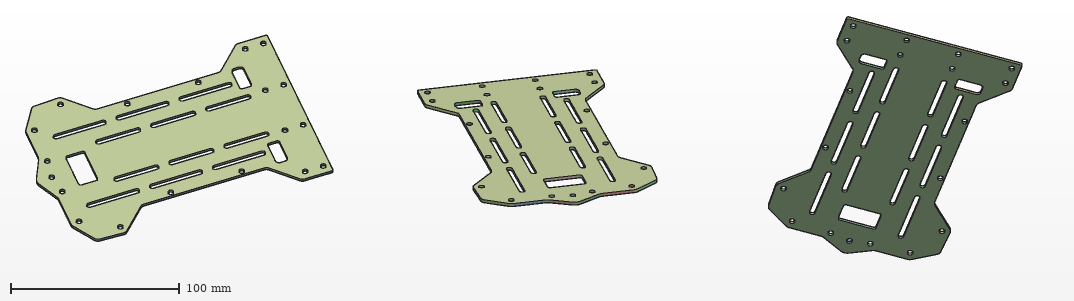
import cadquery as cq

length = 167.4
thickness = 2.0
front_edge = length / 2
nose_tip = -length / 2

front_half_width = 55.0
waist_half_width = 38.7
tail_half_width = 54.7
tail_end_half_width = 53.9
tail_edge_half_width = 38.3
nose_half_width = 16.2

front_shoulder = 64.0
tail_shoulder = -48.0
shoulder_run = front_half_width - waist_half_width
tail_shoulder_run = tail_half_width - waist_half_width
tail_side_end = -66.3
tail_edge = -76.3
nose_point_overrun = 0.7

front_corner_radius = 1.0
outline_radius = 3.3
nose_half_angle_tangent = nose_half_width / (tail_edge - nose_tip + nose_point_overrun)
nose_half_angle_secant = (1 + nose_half_angle_tangent**2) ** 0.5
nose_radius = nose_point_overrun / (nose_half_angle_secant / nose_half_angle_tangent - 1)

hole_diameter = 3.3
front_hole_xs = (16.2, 49.7)
front_hole_ys = (79.4, 67.8)
side_holes = [(36.0, 32.6), (36.0, -12.4), (49.7, -49.7), (37.0, -71.1), (12.4, -72.3)]
nose_hole_y = -74.3

slot_width = 3.3
slots_per_column = 3
inner_slot_x = 15
inner_slot_length = 28.5
inner_slot_pitch = 35.0
inner_slot_middle = 8.7
outer_slot_x = 27.8
outer_slot_length = 33.5
outer_slot_pitch = 40.0
outer_slot_middle = -5.9

front_window_x = 30.1
front_window_y = 58.0
front_window_width = 16.0
front_window_height = 7.5
front_window_outer_radius = 2.3
front_window_inner_radius = 1.3
tail_window_y = -55.2
tail_window_width = 23.6
tail_window_height = 12.0
tail_window_radius = 1.3


def make_plate():
    right_side = [
        (front_half_width, front_edge),
        (front_half_width, front_shoulder),
        (waist_half_width, front_shoulder - shoulder_run),
        (waist_half_width, tail_shoulder + tail_shoulder_run),
        (tail_half_width, tail_shoulder),
        (tail_end_half_width, tail_side_end),
        (tail_edge_half_width, tail_edge),
        (nose_half_width, tail_edge),
    ]
    nose_point = (0, nose_tip - nose_point_overrun)
    left_side = [(-x, y) for x, y in reversed(right_side)]
    plate = cq.Workplane("XY").polyline(right_side + [nose_point] + left_side).close().extrude(thickness)

    nose_edge = cq.selectors.NearestToPointSelector((0, nose_point[1], thickness / 2))
    plate = plate.edges("|Z").edges(nose_edge).fillet(nose_radius)
    plate = plate.edges("|Z and >Y").fillet(front_corner_radius)
    for x, y in right_side[1:]:
        for side in (1, -1):
            corner = cq.selectors.NearestToPointSelector((side * x, y, thickness / 2))
            plate = plate.edges("|Z").edges(corner).fillet(outline_radius)
    return plate


def make_holes():
    right_holes = [(x, y) for x in front_hole_xs for y in front_hole_ys] + side_holes
    left_holes = [(-x, y) for x, y in right_holes]
    points = right_holes + left_holes + [(0, nose_hole_y)]
    return cq.Workplane("XY").pushPoints(points).circle(hole_diameter / 2).extrude(thickness)


def make_slots(column_x, slot_length, pitch, middle):
    points = []
    for index in range(slots_per_column):
        y = middle + (index - (slots_per_column - 1) / 2) * pitch
        points += [(column_x, y), (-column_x, y)]
    return cq.Workplane("XY").pushPoints(points).slot2D(slot_length, slot_width, 90).extrude(thickness)


def make_front_windows():
    window = (
        cq.Workplane("XY")
        .center(front_window_x, front_window_y)
        .rect(front_window_width, front_window_height)
        .extrude(thickness)
        .edges("|Z and >X")
        .fillet(front_window_outer_radius)
        .edges("|Z and <X")
        .fillet(front_window_inner_radius)
    )
    return window.union(window.mirror("YZ"))


def make_tail_window():
    return (
        cq.Workplane("XY")
        .center(0, tail_window_y)
        .rect(tail_window_width, tail_window_height)
        .extrude(thickness)
        .edges("|Z")
        .fillet(tail_window_radius)
    )


result = (
    make_plate()
    .cut(make_holes())
    .cut(make_slots(inner_slot_x, inner_slot_length, inner_slot_pitch, inner_slot_middle))
    .cut(make_slots(outer_slot_x, outer_slot_length, outer_slot_pitch, outer_slot_middle))
    .cut(make_front_windows())
    .cut(make_tail_window())
)